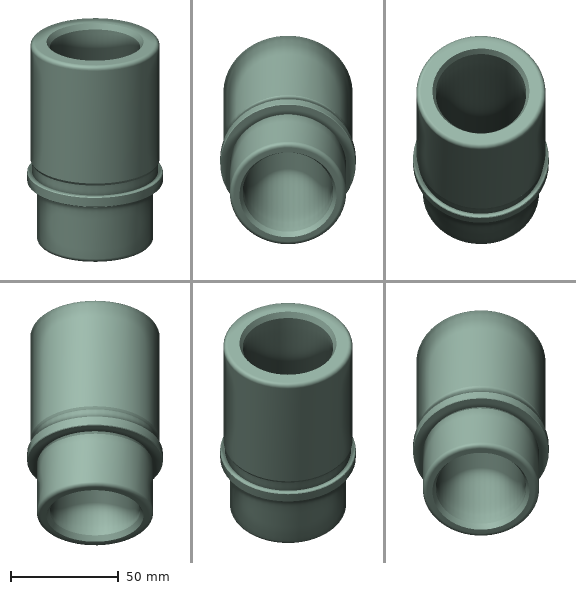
import cadquery as cq
import math

total_height = 100.0
flange_bottom = 30.0
flange_top = 35.0
body_bottom = 40.0

bore_radius = 21.0
spigot_radius = 27.0
flange_radius = 31.5
body_neck_radius = 29.3
body_radius = 30.0

spigot_neck_height = 1.9
spigot_neck_depth = 0.8
flange_chamfer = 0.3
body_taper_height = 1.3
body_top_round = 2.0
spigot_bottom_round = 2.0
bore_lead_width = 1.5
bore_lead_depth = 2.6


def cylinder(radius, bottom, top):
    """Solid cylinder on the Z axis between two heights."""
    return cq.Workplane("XY").workplane(offset=bottom).circle(radius).extrude(top - bottom)


spigot_neck_radius = spigot_radius - spigot_neck_depth
neck_arc_radius = (spigot_neck_depth**2 + spigot_neck_height**2) / (2 * spigot_neck_depth)
neck_arc_half_angle = math.asin(spigot_neck_height / neck_arc_radius) / 2
neck_arc_middle = (
    spigot_neck_radius + neck_arc_radius * (1 - math.cos(neck_arc_half_angle)),
    flange_bottom - neck_arc_radius * math.sin(neck_arc_half_angle),
)
spigot = (
    cq.Workplane("XZ")
    .lineTo(spigot_radius, 0)
    .lineTo(spigot_radius, flange_bottom - spigot_neck_height)
    .threePointArc(neck_arc_middle, (spigot_neck_radius, flange_bottom))
    .lineTo(0, flange_bottom)
    .close()
    .revolve(360, (0, 0), (0, 1))
)
spigot = spigot.faces("<Z").edges().fillet(spigot_bottom_round)

flange = cylinder(flange_radius, flange_bottom, flange_top).edges().chamfer(flange_chamfer)

body_neck = cylinder(body_neck_radius, flange_top, body_bottom)
body = cylinder(body_radius, body_bottom, total_height)
body = body.faces("<Z").edges().chamfer(body_taper_height, body_radius - body_neck_radius)
body = body.faces(">Z").edges().fillet(body_top_round)

outer = spigot.union(flange).union(body_neck).union(body)

bore_profile = [
    (0, 0),
    (bore_radius + bore_lead_width, 0),
    (bore_radius, bore_lead_depth),
    (bore_radius, total_height - bore_lead_depth),
    (bore_radius + bore_lead_width, total_height),
    (0, total_height),
]
bore = cq.Workplane("XZ").polyline(bore_profile).close().revolve(360, (0, 0), (0, 1))

result = outer.cut(bore)